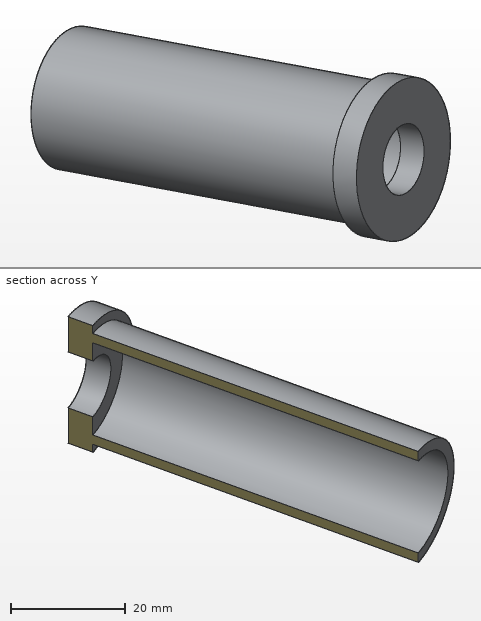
import cadquery as cq

total_length = 70.0
flange_diameter = 29.0
flange_thickness = 5.0
tube_diameter = 25.4
bore_diameter = 20.9
end_hole_diameter = 12.7

tube_length = total_length - flange_thickness
bore_depth = tube_length


def cylinder_along_x(diameter, start, length):
    """Cylinder centred on the X axis, running from start towards +X."""
    return cq.Workplane("YZ", origin=(start, 0, 0)).circle(diameter / 2).extrude(length)


tube = cylinder_along_x(tube_diameter, 0, tube_length)
flange = cylinder_along_x(flange_diameter, tube_length, flange_thickness)

bore = cylinder_along_x(bore_diameter, 0, bore_depth)
end_hole = cylinder_along_x(end_hole_diameter, 0, total_length)

result = tube.union(flange).cut(bore).cut(end_hole)